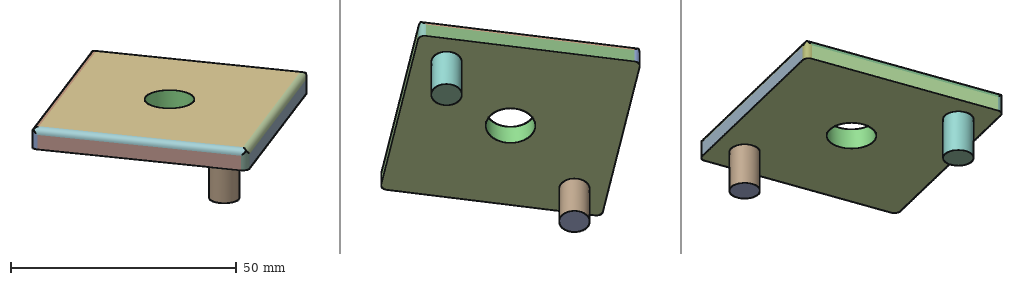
import cadquery as cq

plate_side = 50
plate_thickness = 5
edge_radius = 1.5
hole_diameter = 11
peg_diameter = 6.8
peg_length = 10
peg_spacing = 35


def rounded_block(edge_selector):
    """Plate blank with its underside at Z = 0 and only the selected edges rounded."""
    return (
        cq.Workplane("XY")
        .box(plate_side, plate_side, plate_thickness, centered=(True, True, False))
        .edges(edge_selector)
        .fillet(edge_radius)
    )


plate = rounded_block("|Z")
for top_edges in ("|X and >Z", "|Y and >Z"):
    plate = plate.intersect(rounded_block(top_edges))

hole = cq.Workplane("XY").circle(hole_diameter / 2).extrude(plate_thickness)
plate = plate.cut(hole)

peg_offset = peg_spacing / 2
pegs = (
    cq.Workplane("XY")
    .pushPoints([(-peg_offset, peg_offset), (peg_offset, -peg_offset)])
    .circle(peg_diameter / 2)
    .extrude(-peg_length)
)

result = plate.union(pegs)